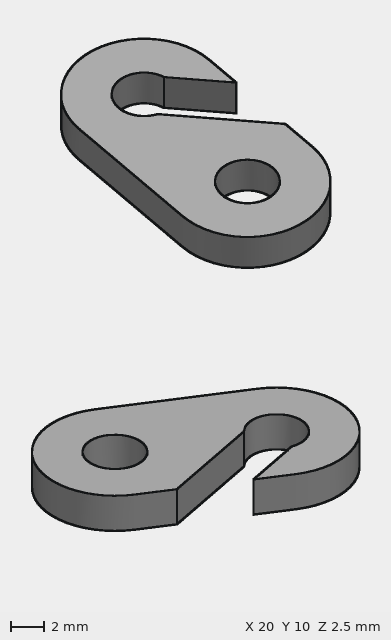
import cadquery as cq

length = 20.0
width = 10.0
thickness = 2.5

hole_diameter = 3.9
hole_offset = (length - width) / 2

slot_width = 3.35
slot_angle = 45.0
slot_length = width

plate = cq.Workplane("XY").slot2D(length, width).extrude(thickness)

holes = (
    cq.Workplane("XY")
    .pushPoints([(-hole_offset, 0), (hole_offset, 0)])
    .circle(hole_diameter / 2)
    .extrude(thickness)
)

entry_slot = (
    cq.Workplane("XY")
    .rect(slot_length, slot_width)
    .extrude(thickness)
    .translate((slot_length / 2, 0, 0))
    .rotate((0, 0, 0), (0, 0, 1), slot_angle)
    .translate((-hole_offset, 0, 0))
)

result = plate.cut(holes).cut(entry_slot)